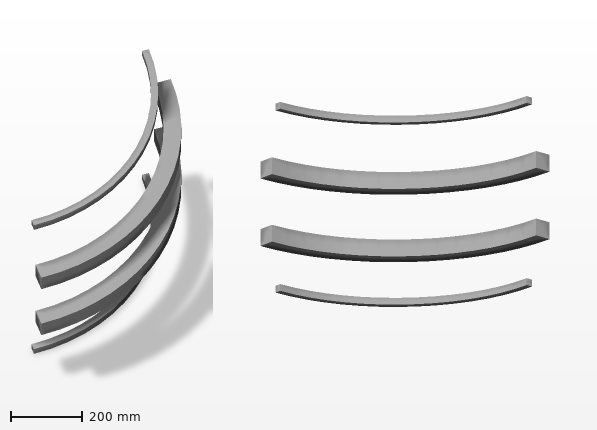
import cadquery as cq

LARGE_OUTER_RADIUS = 575.0
LARGE_SECTION = 50.0
LARGE_MID_HEIGHT = 100.0

SMALL_OUTER_RADIUS = 510.0
SMALL_SECTION = 20.0
OVERALL_HEIGHT = 560.0
SMALL_MID_HEIGHT = (OVERALL_HEIGHT - SMALL_SECTION) / 2

SWEEP_ANGLE = 90


def quarter_ring(outer_radius, section, mid_height):
    """Square-section quarter ring in the +X, +Y quadrant, centred on mid_height."""
    inner_radius = outer_radius - section
    return (
        cq.Workplane("XZ")
        .moveTo(inner_radius, mid_height - section / 2)
        .rect(section, section, centered=False)
        .revolve(SWEEP_ANGLE, (0, 0, 0), (0, 1, 0))
    )


large_segments = []
small_segments = []
for side in (1, -1):
    large_segments.append(quarter_ring(LARGE_OUTER_RADIUS, LARGE_SECTION, side * LARGE_MID_HEIGHT).val())
    small_segments.append(quarter_ring(SMALL_OUTER_RADIUS, SMALL_SECTION, side * SMALL_MID_HEIGHT).val())

result = cq.Compound.makeCompound([*large_segments, *small_segments])